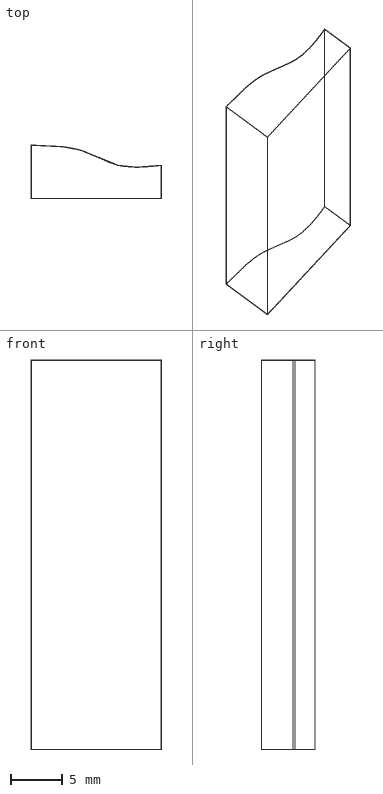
import cadquery as cq

width = 12.73
thick_side = 5.25
thin_side = 3.28
height = 38.1

crown_point = (2.97, 5.1)
shoulder_point = (4.8, 4.75)
slope_point = (6.63, 4.0)
hollow_entry_point = (8.5, 3.28)
hollow_point = (10.33, 3.1)

wave_points = [
    crown_point,
    shoulder_point,
    slope_point,
    hollow_entry_point,
    hollow_point,
    (width, thin_side),
]

result = (
    cq.Workplane("XY")
    .lineTo(0, thick_side)
    .spline(wave_points, includeCurrent=True)
    .lineTo(width, 0)
    .close()
    .extrude(height)
)